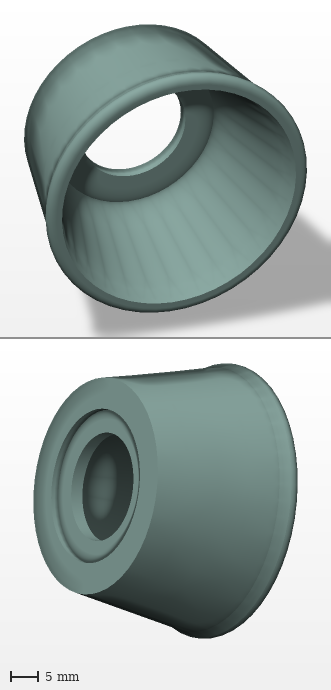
import cadquery as cq
import math

base_radius = 20.0
cone_length = 24.1
cone_end_radius = 24.4
total_length = 28.18
outer_radius = 50.77 / 2

bead_radius = 1.5
bead_center_x = total_length - bead_radius
bead_center_r = outer_radius - bead_radius
bead_start_angle = math.radians(110)
flare_sag = 0.05

recess_radius = 14.25
recess_depth = 1.5
bore_radius = 10.0
web_thickness = 4.0

cavity_floor_radius = 15.5
cavity_mouth_radius = 22.8


def bead_point(angle):
    """Point on the bead's circular section, angle measured from +X."""
    return (
        bead_center_x + bead_radius * math.cos(angle),
        bead_center_r + bead_radius * math.sin(angle),
    )


def sagged_midpoint(start, end, sag):
    """Middle of the chord start-end, moved by sag towards its right-hand side."""
    dx = end[0] - start[0]
    dr = end[1] - start[1]
    chord = math.hypot(dx, dr)
    return (
        (start[0] + end[0]) / 2 + sag * dr / chord,
        (start[1] + end[1]) / 2 - sag * dx / chord,
    )


def revolve_about_x(profile):
    """Close an (axial, radial) profile and turn it once around the X axis."""
    return profile.close().revolve(360, (0, 0, 0), (1, 0, 0))


def make_outer_body():
    cone_end = (cone_length, cone_end_radius)
    bead_start = bead_point(bead_start_angle)
    profile = (
        cq.Workplane("XZ")
        .moveTo(0, 0)
        .lineTo(0, base_radius)
        .lineTo(*cone_end)
        .threePointArc(sagged_midpoint(cone_end, bead_start, flare_sag), bead_start)
        .threePointArc(bead_point(bead_start_angle / 2), bead_point(0))
        .lineTo(total_length, 0)
    )
    return revolve_about_x(profile)


def make_cavity():
    profile = (
        cq.Workplane("XZ")
        .moveTo(web_thickness, 0)
        .lineTo(web_thickness, cavity_floor_radius)
        .lineTo(total_length, cavity_mouth_radius)
        .lineTo(total_length, 0)
    )
    return revolve_about_x(profile)


def make_stepped_hole():
    recess = cq.Workplane("YZ").circle(recess_radius).extrude(recess_depth)
    bore = cq.Workplane("YZ").circle(bore_radius).extrude(web_thickness)
    return recess.union(bore)


result = make_outer_body().cut(make_cavity()).cut(make_stepped_hole())